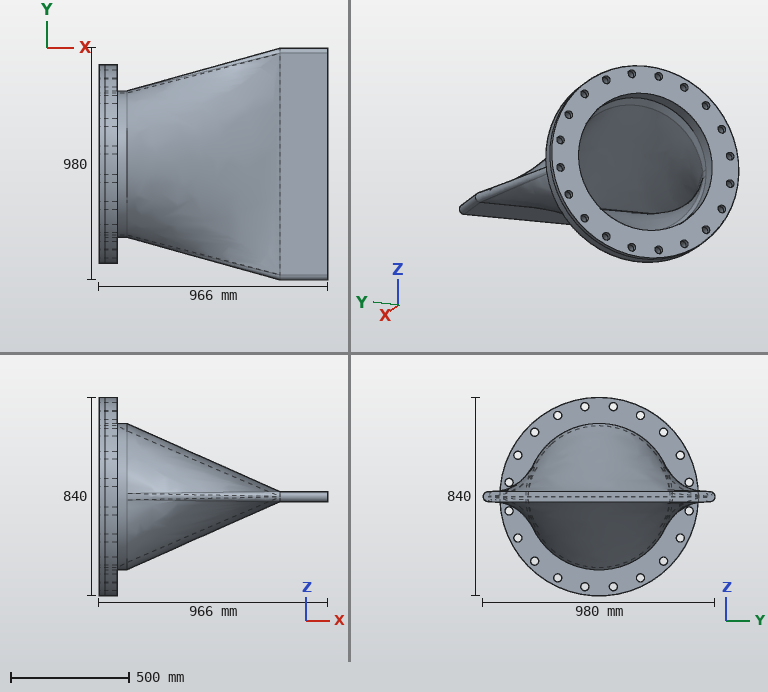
import cadquery as cq
import math

flange_thickness = 24.5
ring_thickness = 52.0
neck_end = 117.0
bill_start = 763.0
bill_end = 966.0
ring_end = flange_thickness + ring_thickness

flange_diameter = 840.0
flange_radius = flange_diameter / 2
neck_radius = 310.0
bore_radius = 300.0
bolt_count = 20
bolt_hole_diameter = 33.0
bolt_circle_radius = 385.0

bill_width = 980
bill_thickness = 43.0

strip_half_height = 14.0

throat_half_height = 278.0
slit_half_height = 1.0
slit_half_width = (bill_width - bill_thickness) / 2


def disc(radius, start, end):
    """Solid cylinder about the X axis between two stations, with its seam turned to the +Z side."""
    cylinder = cq.Workplane("YZ", origin=(start, 0, 0)).circle(radius).extrude(end - start)
    return cylinder.rotate((0, 0, 0), (1, 0, 0), 90)


def bolt_holes(start, end):
    """Cutter for the ring of bolt holes, straddling the Y and Z axes."""
    half_pitch = 180 / bolt_count
    return (
        cq.Workplane("YZ", origin=(start, 0, 0))
        .polarArray(bolt_circle_radius, half_pitch, 360, bolt_count)
        .circle(bolt_hole_diameter / 2)
        .extrude(end - start)
    )


def oval_section(x, half_width, crown, corner_y, corner_z):
    """Closed YZ section of top, side, bottom and side edges; top and bottom are flat if crown is corner_z."""
    corners = [
        cq.Vector(x, corner_y, corner_z),
        cq.Vector(x, -corner_y, corner_z),
        cq.Vector(x, -corner_y, -corner_z),
        cq.Vector(x, corner_y, -corner_z),
    ]
    middles = [
        cq.Vector(x, 0, crown),
        cq.Vector(x, -half_width, 0),
        cq.Vector(x, 0, -crown),
        cq.Vector(x, half_width, 0),
    ]
    edges = []
    for i, middle in enumerate(middles):
        start = corners[i]
        end = corners[(i + 1) % len(corners)]
        if abs(middle.z) == corner_z:
            edges.append(cq.Edge.makeLine(start, end))
        else:
            edges.append(cq.Edge.makeThreePointArc(start, middle, end))
    return cq.Wire.assembleEdges(edges)


def round_section(x, radius, crown):
    """Circular section, or one flattened to the crown height, with a narrow strip on each side."""
    strip_y = math.sqrt(radius**2 - strip_half_height**2)
    return oval_section(x, radius, crown, strip_y, strip_half_height)


def slot_section(x, half_width, half_height):
    """Flat slot with fully rounded ends."""
    return oval_section(x, half_width, half_height, half_width - half_height, half_height)


def bill_section():
    """Outline of the bill where it meets the transition."""
    return slot_section(bill_start, bill_width / 2, bill_thickness / 2)


def ruled_loft(sections):
    """Solid with straight walls from each section to the next."""
    return cq.Workplane(cq.Solid.makeLoft(sections, True))


def outer_transition():
    """Outside of the wall from the round neck to the flat bill."""
    return ruled_loft([round_section(neck_end, neck_radius, neck_radius), bill_section()])


def bill():
    """Flat bill beyond the transition."""
    face = cq.Face.makeFromWires(bill_section())
    return cq.Workplane(cq.Solid.extrudeLinear(face, cq.Vector(bill_end - bill_start, 0, 0)))


def cavity():
    """Round bore, short throat and the space that narrows to the closed slit."""
    bore = disc(bore_radius, 0, ring_end)
    narrowing = ruled_loft(
        [
            round_section(ring_end, bore_radius, bore_radius),
            round_section(neck_end, bore_radius, throat_half_height),
            slot_section(bill_start, slit_half_width, slit_half_height),
        ]
    )
    return bore.union(narrowing)


def make_valve():
    """Rubber valve: flange, neck, transition and bill in one hollow piece."""
    flange = disc(flange_radius, 0, flange_thickness)
    neck = disc(neck_radius, 0, neck_end)
    outside = flange.union(neck).union(outer_transition()).union(bill())
    return outside.cut(cavity()).cut(bolt_holes(0, flange_thickness))


def make_backing_ring():
    """Ring behind the flange, fitting round the neck."""
    blank = disc(flange_radius, flange_thickness, ring_end)
    neck_hole = disc(neck_radius, flange_thickness, ring_end)
    return blank.cut(neck_hole).cut(bolt_holes(flange_thickness, ring_end))


valve = make_valve()
backing_ring = make_backing_ring()
result = cq.Compound.makeCompound([valve.val(), backing_ring.val()])